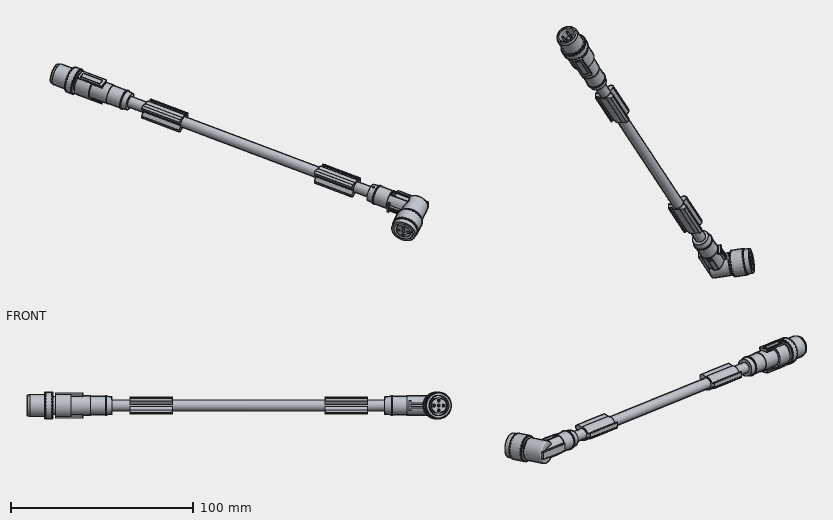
import cadquery as cq
import math

CABLE_RADIUS = 3.05
CABLE_START = 40.0
CABLE_END = 205.0

SHELL_RADIUS = 6.1
SHELL_TIP_RADIUS = 5.6
SHELL_TIP_LENGTH = 1.5
COLLAR_START = 9.6
COLLAR_END = 14.2
COLLAR_RADIUS = 7.35
COLLAR_CHAMFER = 0.4
NECK_RADIUS = 5.0
GRIP_START = 15.5
GRIP_END = 24.2
GRIP_RADIUS = 6.6
BARREL_RADIUS = 5.45
BARREL_END = 34.7
BOOT_RADIUS = 5.2
FLANGE_RADIUS = 5.5
FLANGE_START = 43.0
FLANGE_WIDTH = 0.6
BOOT_END = 46.6
BOOT_TIP_RADIUS = 4.8

PAD_END = 30.6
PAD_WIDTH = 5.6
PAD_HEIGHT = 6.9
PAD_FOOT_WIDTH = 4.6
PAD_FOOT_HEIGHT = 5.8
PAD_RECESS_START = 16.8
PAD_RECESS_END = 28.7
PAD_RECESS_WIDTH = 3.0
PAD_RECESS_DEPTH = 0.25

KNURL_COUNT = 24
KNURL_GROOVE_RADIUS = 0.35
KNURL_LENGTH = 0.7

PLUG_BORE_RADIUS = 4.6
PLUG_BORE_DEPTH = 7.0
CONTACT_CIRCLE_RADIUS = 2.7
PIN_POSITIONS = [
    (CONTACT_CIRCLE_RADIUS, 0),
    (0, CONTACT_CIRCLE_RADIUS),
    (0, -CONTACT_CIRCLE_RADIUS),
]
HOLE_POSITIONS = PIN_POSITIONS + [(-CONTACT_CIRCLE_RADIUS, 0), (0, 0)]
PIN_RADIUS = 0.5
PIN_LENGTH = 6.0
KEY_WIDTH = 1.4
KEY_HEIGHT = 1.3
KEY_ANGLE = 25.0

SLEEVE_LENGTH = 23.3
FIRST_SLEEVE_START = 56.4
SECOND_SLEEVE_START = 163.6
RAIL_BACK_Y = 5.7
RAIL_FLANGE_Y = 5.1
RAIL_WEB_Y = 4.2
SLEEVE_BACK_Y = 3.3
SLEEVE_FRONT_Y = -0.7
LIP_TOP_Y = -3.5
LIP_FRONT_Y = -4.8
NOTCH_TIP_Y = -2.6
RAIL_HALF_HEIGHT = 1.7
RAIL_WEB_HALF_HEIGHT = 1.1
SLEEVE_BARREL_RADIUS = 3.85
LIP_EDGE_HALF_HEIGHT = 3.8
LIP_HALF_HEIGHT = 4.6
NOTCH_HALF_HEIGHT = 2.4

ELBOW_BOOT_START = 196.3
ELBOW_FLANGE_START = 199.9
ELBOW_BODY_START = 208.6
ELBOW_AXIS_X = 223.48
ELBOW_TILT = 8.0
HEAD_RADIUS = 6.35
HEAD_TOP = 4.7
HEAD_FILLET = 1.0
NUT_START = 7.6
NUT_STEP = 15.6
NUT_END = 18.38
NUT_RADIUS = 7.4
NUT_TIP_RADIUS = 6.9
NUT_CHAMFER = 0.4
NUT_GROOVE_RADIUS = 5.6
NUT_GROOVE_LENGTH = 1.0
SOCKET_BORE_RADIUS = 5.5
SOCKET_BORE_DEPTH = 6.0
INSERT_RADIUS = 4.2
CONTACT_HOLE_RADIUS = 0.7
CONTACT_HOLE_DEPTH = 5.0

BACK_PAD_START = 209.7
BACK_PAD_END = 228.4
BACK_PAD_Y = 6.6
BACK_PAD_WIDTH = 4.0
FRONT_PAD_END = 218.0
FRONT_PAD_Y = -6.6
SIDE_PAD_WIDTH = 2.8
END_PLATE_WIDTH = 5.6
SIDE_PAD_GROOVE_WIDTH = 1.2
SIDE_PAD_GROOVE_DEPTH = 0.7
END_PLATE_LENGTH = 1.0
TOP_PAD_END = 219.8
TOP_PAD_HEIGHT = 5.6
TOP_POCKET_START = 209.4
TOP_POCKET_END = 211.4
TOP_POCKET_WIDTH = 1.4
TOP_POCKET_DEPTH = 0.8
BOOT_HOLE_X = 197.9
BOOT_HOLE_RADIUS = 0.5
BOOT_HOLE_FLOOR = 4.0
ELBOW_BODY_RADIUS = 5.4


def cylinder(start, end, radius):
    """Cylinder along X between two stations."""
    return cq.Workplane("YZ", origin=(start, 0, 0)).circle(radius).extrude(end - start)


def box(x_range, y_range, z_range):
    """Axis-aligned block given by its three intervals."""
    sizes = [high - low for low, high in (x_range, y_range, z_range)]
    corner = (x_range[0], y_range[0], z_range[0])
    return cq.Workplane("XY", origin=corner).box(*sizes, centered=False)


def cone(start, end, start_radius, end_radius):
    """Truncated cone along X."""
    outline = [(start, 0), (start, start_radius), (end, end_radius), (end, 0)]
    return cq.Workplane("XY").polyline(outline).close().revolve(360, (0, 0, 0), (1, 0, 0))


def knurl_notches(start, end, radius):
    """Short, evenly spaced notches in both rims of a ring along X."""
    notches = cq.Workplane("YZ")
    for notch_start in (start, end - KNURL_LENGTH):
        row = (
            cq.Workplane("YZ", origin=(notch_start, 0, 0))
            .polarArray(radius, 0, 360, KNURL_COUNT)
            .circle(KNURL_GROOVE_RADIUS)
            .extrude(KNURL_LENGTH)
        )
        notches = notches.add(row)
    return notches.combine(glue=True)


def contact_rods(start, end, radius, positions):
    """Round rods along X at the given (Y, Z) positions."""
    return cq.Workplane("YZ", origin=(start, 0, 0)).pushPoints(positions).circle(radius).extrude(end - start)


def plug_face():
    """Bore of the straight plug with the pins and the coding key left standing."""
    bore = cylinder(0, PLUG_BORE_DEPTH, PLUG_BORE_RADIUS)
    pins = contact_rods(PLUG_BORE_DEPTH - PIN_LENGTH, PLUG_BORE_DEPTH, PIN_RADIUS, PIN_POSITIONS)
    key = box(
        (0, PLUG_BORE_DEPTH),
        (-PLUG_BORE_RADIUS, KEY_HEIGHT - PLUG_BORE_RADIUS),
        (-KEY_WIDTH / 2, KEY_WIDTH / 2),
    )
    key = key.rotate((0, 0, 0), (1, 0, 0), KEY_ANGLE)
    return bore.cut(pins).cut(key)


def add_grip_pads(plug):
    """Add a recessed pad on a narrower foot above and below the grip."""
    half_foot = PAD_FOOT_WIDTH / 2
    half_pad = PAD_WIDTH / 2
    half_recess = PAD_RECESS_WIDTH / 2
    recess_floor = PAD_HEIGHT - PAD_RECESS_DEPTH
    pad_x = (GRIP_START, PAD_END)
    recess_x = (PAD_RECESS_START, PAD_RECESS_END)
    foot = box(pad_x, (-half_foot, half_foot), (0, PAD_FOOT_HEIGHT))
    plate = box(pad_x, (-half_pad, half_pad), (PAD_FOOT_HEIGHT, PAD_HEIGHT))
    recess = box(recess_x, (-half_recess, half_recess), (recess_floor, PAD_HEIGHT))
    pad = foot.union(plate).cut(recess)
    return plug.union(pad).union(pad.mirror("XY"))


def straight_plug():
    shell = cone(0, SHELL_TIP_LENGTH, SHELL_TIP_RADIUS, SHELL_RADIUS)
    shell = shell.union(cylinder(SHELL_TIP_LENGTH, COLLAR_START, SHELL_RADIUS))
    collar = cylinder(COLLAR_START, COLLAR_END, COLLAR_RADIUS).faces("<X or >X").chamfer(COLLAR_CHAMFER)
    collar = collar.cut(knurl_notches(COLLAR_START, COLLAR_END, COLLAR_RADIUS))
    neck = cylinder(COLLAR_END, GRIP_START, NECK_RADIUS)
    grip = cylinder(GRIP_START, GRIP_END, GRIP_RADIUS)
    barrel = cylinder(GRIP_END, BARREL_END, BARREL_RADIUS)
    boot = cylinder(BARREL_END, FLANGE_START, BOOT_RADIUS)
    flange = cylinder(FLANGE_START, FLANGE_START + FLANGE_WIDTH, FLANGE_RADIUS)
    tip = cone(FLANGE_START + FLANGE_WIDTH, BOOT_END, BOOT_RADIUS, BOOT_TIP_RADIUS)
    plug = shell
    for section in (collar, neck, grip, barrel, boot, flange, tip):
        plug = plug.union(section)
    return add_grip_pads(plug).cut(plug_face())


def barrel_height(y):
    """Half height of the round sleeve barrel at a given Y."""
    return math.sqrt(SLEEVE_BARREL_RADIUS**2 - y**2)


def marker_sleeve(start):
    """Clip-on sleeve: a round barrel with a label rail at the back and a V-shaped mouth at the front."""
    rail = [
        (RAIL_BACK_Y, RAIL_HALF_HEIGHT),
        (RAIL_FLANGE_Y, RAIL_HALF_HEIGHT),
        (RAIL_FLANGE_Y, RAIL_WEB_HALF_HEIGHT),
        (RAIL_WEB_Y, RAIL_WEB_HALF_HEIGHT),
        (SLEEVE_BACK_Y, barrel_height(SLEEVE_BACK_Y)),
    ]
    barrel_middle_y = (SLEEVE_BACK_Y + SLEEVE_FRONT_Y) / 2
    mouth = [
        (LIP_TOP_Y, LIP_HALF_HEIGHT),
        (LIP_FRONT_Y, LIP_EDGE_HALF_HEIGHT),
        (LIP_FRONT_Y, NOTCH_HALF_HEIGHT),
        (NOTCH_TIP_Y, 0),
        (RAIL_BACK_Y, 0),
    ]
    outline = cq.Workplane("YZ", origin=(start, 0, 0)).polyline(rail)
    outline = outline.threePointArc(
        (barrel_middle_y, barrel_height(barrel_middle_y)),
        (SLEEVE_FRONT_Y, barrel_height(SLEEVE_FRONT_Y)),
    )
    for point in mouth:
        outline = outline.lineTo(*point)
    upper_half = outline.close().extrude(SLEEVE_LENGTH)
    return upper_half.union(upper_half.mirror("XY"))


def socket_head():
    """Socket with its coupling nut, built along X from the elbow axis."""
    head = cylinder(-HEAD_TOP, NUT_START, HEAD_RADIUS).faces("<X").edges().fillet(HEAD_FILLET)
    nut = cylinder(NUT_START, NUT_STEP, NUT_RADIUS).faces("<X or >X").chamfer(NUT_CHAMFER)
    nut = nut.cut(knurl_notches(NUT_START, NUT_STEP, NUT_RADIUS))
    nut_tip = cylinder(NUT_STEP, NUT_END, NUT_TIP_RADIUS)
    groove = cylinder(NUT_START - NUT_GROOVE_LENGTH, NUT_START, HEAD_RADIUS).cut(
        cylinder(NUT_START - NUT_GROOVE_LENGTH, NUT_START, NUT_GROOVE_RADIUS)
    )
    bore_floor = NUT_END - SOCKET_BORE_DEPTH
    gap = cylinder(bore_floor, NUT_END, SOCKET_BORE_RADIUS).cut(
        cylinder(bore_floor, NUT_END, INSERT_RADIUS)
    )
    holes = contact_rods(NUT_END - CONTACT_HOLE_DEPTH, NUT_END, CONTACT_HOLE_RADIUS, HOLE_POSITIONS)
    head = head.union(nut).union(nut_tip).cut(groove).cut(gap).cut(holes)
    turn = ELBOW_TILT - 90
    return head.rotate((0, 0, 0), (0, 0, 1), turn).translate((ELBOW_AXIS_X, 0, 0))


def elbow_back_pad():
    half_width = BACK_PAD_WIDTH / 2
    return box((BACK_PAD_START, BACK_PAD_END), (0, BACK_PAD_Y), (-half_width, half_width))


def elbow_front_pad():
    """Grooved pad ending in a wider plate."""
    half_pad = SIDE_PAD_WIDTH / 2
    half_plate = END_PLATE_WIDTH / 2
    half_groove = SIDE_PAD_GROOVE_WIDTH / 2
    plate_end = BACK_PAD_START + END_PLATE_LENGTH
    groove_floor = FRONT_PAD_Y + SIDE_PAD_GROOVE_DEPTH
    pad = box((BACK_PAD_START, FRONT_PAD_END), (FRONT_PAD_Y, 0), (-half_pad, half_pad))
    plate = box((BACK_PAD_START, plate_end), (FRONT_PAD_Y, 0), (-half_plate, half_plate))
    groove = box((plate_end, FRONT_PAD_END), (FRONT_PAD_Y, groove_floor), (-half_groove, half_groove))
    return pad.union(plate).cut(groove)


def elbow_top_pad():
    """Rib through the elbow body, with a small pocket near its start above and below."""
    half_pad = SIDE_PAD_WIDTH / 2
    half_pocket = TOP_POCKET_WIDTH / 2
    pocket_floor = TOP_PAD_HEIGHT - TOP_POCKET_DEPTH
    pad = box((ELBOW_BODY_START, TOP_PAD_END), (-half_pad, half_pad), (-TOP_PAD_HEIGHT, TOP_PAD_HEIGHT))
    pocket = box(
        (TOP_POCKET_START, TOP_POCKET_END), (-half_pocket, half_pocket), (pocket_floor, TOP_PAD_HEIGHT)
    )
    return pad.cut(pocket).cut(pocket.mirror("XY"))


def elbow_socket():
    flange_end = ELBOW_FLANGE_START + FLANGE_WIDTH
    elbow = cone(ELBOW_BOOT_START, ELBOW_FLANGE_START, BOOT_TIP_RADIUS, BOOT_RADIUS)
    elbow = elbow.union(cylinder(ELBOW_FLANGE_START, flange_end, FLANGE_RADIUS))
    elbow = elbow.union(cylinder(flange_end, ELBOW_BODY_START, BOOT_RADIUS))
    elbow = elbow.union(cylinder(ELBOW_BODY_START, ELBOW_AXIS_X, ELBOW_BODY_RADIUS))
    boot_hole = (
        cq.Workplane("XY", origin=(BOOT_HOLE_X, 0, BOOT_HOLE_FLOOR))
        .circle(BOOT_HOLE_RADIUS)
        .extrude(BOOT_RADIUS - BOOT_HOLE_FLOOR)
    )
    for pad in (elbow_back_pad(), elbow_front_pad(), elbow_top_pad()):
        elbow = elbow.union(pad)
    return elbow.cut(boot_hole).union(socket_head())


cable = cylinder(CABLE_START, CABLE_END, CABLE_RADIUS)
result = straight_plug().union(cable).union(elbow_socket())
for sleeve_start in (FIRST_SLEEVE_START, SECOND_SLEEVE_START):
    result = result.union(marker_sleeve(sleeve_start))